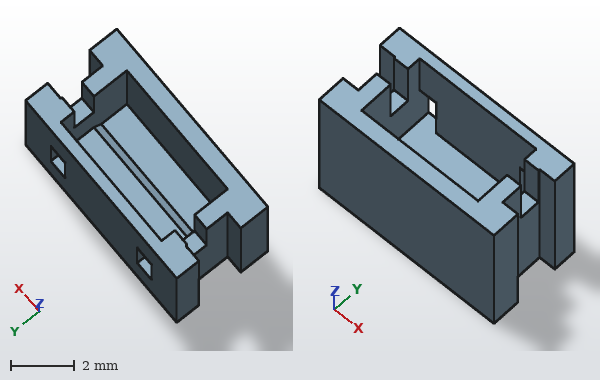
import cadquery as cq

LENGTH = 7.5
WIDTH = 3.7
HEIGHT = 5.0
BACK = WIDTH / 2
FRONT = -WIDTH / 2

CHANNEL_DEPTH = 0.65
BACK_FLANGE = 0.9
FRONT_FLANGE = 1.1

END_WALL = 1.25
BACK_WALL = 0.41
FRONT_WALL = 0.615
CAVITY_LENGTH = LENGTH - 2 * END_WALL
UPPER_FLOOR = 1.5
RAMP_TOP_FROM_BACK = 1.75
RAMP_RUN = 0.3
RAMP_DROP = RAMP_RUN

SLOT_WIDTH = 0.795
SLOT_DEPTH = 1.8
SLOT_FROM_BACK = 0.95

WINDOW_WIDTH = 0.705


def box(x_range, y_range, z_range):
    """Axis-aligned box between the given limits."""
    (x0, x1), (y0, y1), (z0, z1) = x_range, y_range, z_range
    return cq.Workplane("XY").box(x1 - x0, y1 - y0, z1 - z0, centered=False).translate((x0, y0, z0))


def cavity():
    """Cavity whose floor ramps down from the back part to the front part."""
    back = BACK - BACK_WALL
    front = FRONT + FRONT_WALL
    ramp_top = BACK - RAMP_TOP_FROM_BACK
    ramp_foot = ramp_top - RAMP_RUN
    lower_floor = UPPER_FLOOR - RAMP_DROP
    return (
        cq.Workplane("YZ")
        .moveTo(back, HEIGHT)
        .lineTo(back, UPPER_FLOOR)
        .lineTo(ramp_top, UPPER_FLOOR)
        .lineTo(ramp_foot, lower_floor)
        .lineTo(front, lower_floor)
        .lineTo(front, HEIGHT)
        .close()
        .extrude(CAVITY_LENGTH / 2, both=True)
    )


result = cq.Workplane("XY").box(LENGTH, WIDTH, HEIGHT, centered=(True, True, False))

channel_y = (FRONT + FRONT_FLANGE, BACK - BACK_FLANGE)
for x_range in (
    (-LENGTH / 2, -LENGTH / 2 + CHANNEL_DEPTH),
    (LENGTH / 2 - CHANNEL_DEPTH, LENGTH / 2),
):
    result = result.cut(box(x_range, channel_y, (0, HEIGHT)))

result = result.cut(cavity())

slot_back = BACK - SLOT_FROM_BACK
slot_bottom = HEIGHT - SLOT_DEPTH
result = result.cut(
    box((-LENGTH / 2, LENGTH / 2), (slot_back - SLOT_WIDTH, slot_back), (slot_bottom, HEIGHT))
)

for x_range in (
    (-CAVITY_LENGTH / 2, -CAVITY_LENGTH / 2 + WINDOW_WIDTH),
    (CAVITY_LENGTH / 2 - WINDOW_WIDTH, CAVITY_LENGTH / 2),
):
    result = result.cut(box(x_range, (BACK - BACK_WALL, BACK), (UPPER_FLOOR, slot_bottom)))